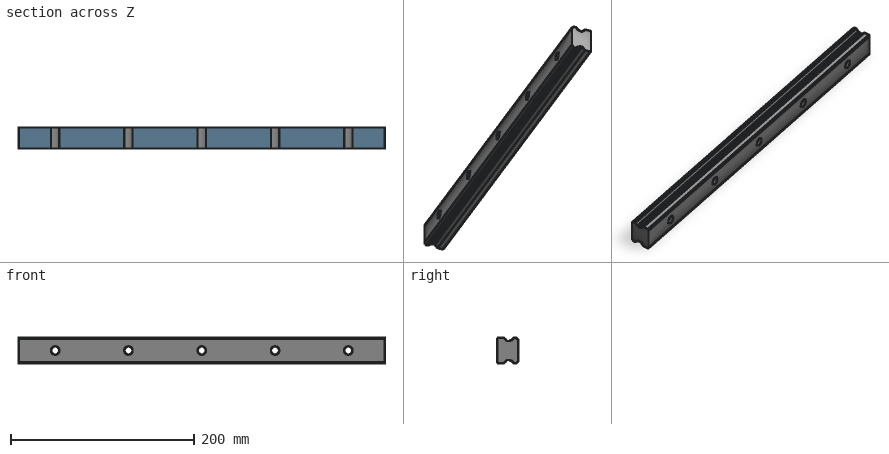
import cadquery as cq

length = 400.0
depth = 23.0
height = 28.0

front_chamfer = 1.0
rear_chamfer = 2.5
groove_depth = 3.5
groove_floor = 3.0
ledge_depth = 3.0
ledge_width = 1.0
rear_land = 2.5

hole_count = 5
hole_diameter = 9.0
hole_pitch = length / hole_count

front = -depth / 2
rear = depth / 2
land_rear = rear - rear_chamfer
land_front = land_rear - rear_land
ledge_rear = land_front - ledge_depth
ledge_front = ledge_rear - ledge_width
floor_rear = ledge_front - (groove_depth - ledge_depth)
floor_front = floor_rear - groove_floor
shoulder = floor_front - groove_depth

top = height / 2
floor = top - groove_depth
ledge = top - ledge_depth


def make_rail():
    """Extrude the symmetric section, with a stepped 45 degree groove above and below."""
    upper_outline = [
        (front, top - front_chamfer),
        (front + front_chamfer, top),
        (shoulder, top),
        (floor_front, floor),
        (floor_rear, floor),
        (ledge_front, ledge),
        (ledge_rear, ledge),
        (land_front, top),
        (land_rear, top),
        (rear, top - rear_chamfer),
    ]
    lower_outline = [(y, -z) for y, z in reversed(upper_outline)]
    section = cq.Workplane("YZ").polyline(upper_outline + lower_outline).close()
    return section.extrude(length / 2, both=True)


def make_holes():
    """Row of plain through holes, centred along the rail."""
    row = cq.Workplane("XZ").rarray(hole_pitch, 4, hole_count, 1)
    return row.circle(hole_diameter / 2).extrude(depth, both=True)


result = make_rail().cut(make_holes())